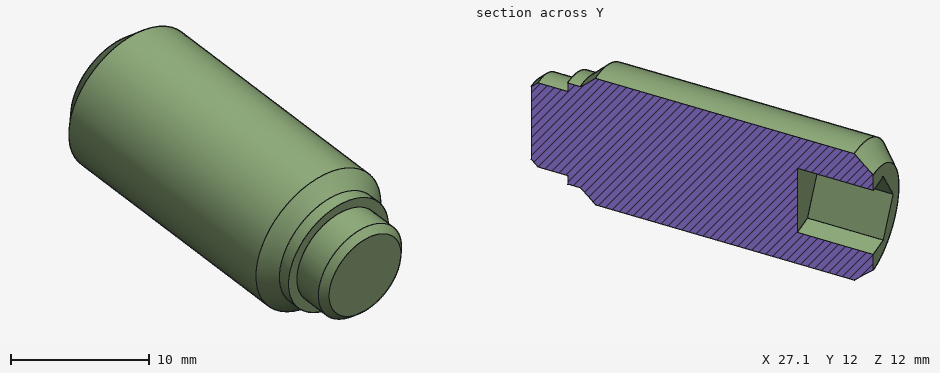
import cadquery as cq
import math

body_diameter = 12.0
drive_chamfer = 1.5
body_end_x = 22.0

collar_diameter = 9.6
collar_length = 1.0

pin_diameter = 8.0
pin_chamfer = 0.55
total_length = 27.1

socket_across_flats = 6.0
socket_depth = 6.0

body_radius = body_diameter / 2
collar_radius = collar_diameter / 2
pin_radius = pin_diameter / 2

collar_start_x = body_end_x + body_radius - collar_radius
pin_start_x = collar_start_x + collar_length


def turned_body():
    """Revolve the half profile (axial position, radius) about the X axis."""
    half_profile = [
        (0, 0),
        (0, body_radius - drive_chamfer),
        (drive_chamfer, body_radius),
        (body_end_x, body_radius),
        (collar_start_x, collar_radius),
        (pin_start_x, collar_radius),
        (pin_start_x, pin_radius),
        (total_length - pin_chamfer, pin_radius),
        (total_length, pin_radius - pin_chamfer),
        (total_length, 0),
    ]
    return cq.Workplane("XY").polyline(half_profile).close().revolve(360, (0, 0, 0), (1, 0, 0))


def hexagon_socket():
    """Hexagonal prism from the -X face inward, with corners on the Y axis."""
    across_corners = socket_across_flats / math.cos(math.pi / 6)
    return cq.Workplane("YZ").polygon(6, across_corners).extrude(socket_depth)


result = turned_body().cut(hexagon_socket())